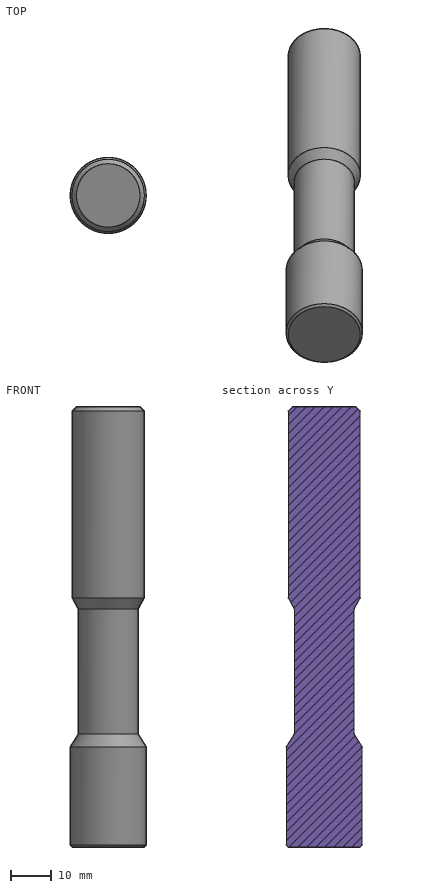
import cadquery as cq

total_length = 110.0
base_diameter = 19.0
neck_diameter = 15.1
head_diameter = 18.0

base_top = 25.1
neck_bottom = 28.3
neck_top = 59.5
head_bottom = 62.3

base_chamfer = 0.5
head_chamfer = 1.1

base_radius = base_diameter / 2
neck_radius = neck_diameter / 2
head_radius = head_diameter / 2

half_section = [
    (0, 0),
    (base_radius - base_chamfer, 0),
    (base_radius, base_chamfer),
    (base_radius, base_top),
    (neck_radius, neck_bottom),
    (neck_radius, neck_top),
    (head_radius, head_bottom),
    (head_radius, total_length - head_chamfer),
    (head_radius - head_chamfer, total_length),
    (0, total_length),
]

result = (
    cq.Workplane("XZ")
    .polyline(half_section)
    .close()
    .revolve(360, (0, 0, 0), (0, 1, 0))
)